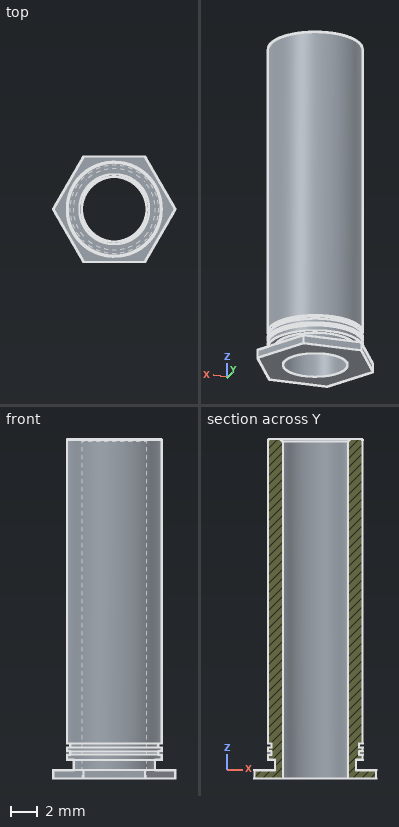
import cadquery as cq
import math

total_height = 25.4
hex_across_flats = 7.92
hex_across_corners = hex_across_flats / math.cos(math.pi / 6)
hex_thickness = 0.64

barrel_diameter = 7.11
barrel_edge_chamfer = 0.075

neck_diameter = 6.1
neck_top = 1.4

groove_diameter = 6.6
groove_spans = [(1.79, 2.03), (2.33, 2.62)]

bore_diameter = 4.83
bore_mouth_chamfer = 0.2


def cylinder(diameter, bottom, top):
    """Solid cylinder on the Z axis between two heights."""
    return cq.Workplane("XY").workplane(offset=bottom).circle(diameter / 2).extrude(top - bottom)


def make_head():
    """Hexagonal head with two corners on the X axis."""
    return cq.Workplane("XY").polygon(6, hex_across_corners).extrude(hex_thickness)


def make_barrel():
    """Long barrel with a small chamfer on its top outer edge."""
    barrel = cylinder(barrel_diameter, neck_top, total_height)
    return barrel.faces(">Z").edges().chamfer(barrel_edge_chamfer)


def make_groove(bottom, top):
    """Ring of material removed from the barrel to form one groove."""
    return cylinder(barrel_diameter, bottom, top).cut(cylinder(groove_diameter, bottom, top))


def make_bore():
    """Cutting tool for the through bore and its conical top mouth."""
    bore_radius = bore_diameter / 2
    mouth_radius = bore_radius + bore_mouth_chamfer
    mouth_bottom = total_height - bore_mouth_chamfer
    profile = (
        cq.Workplane("XZ")
        .moveTo(0, 0)
        .lineTo(bore_radius, 0)
        .lineTo(bore_radius, mouth_bottom)
        .lineTo(mouth_radius, total_height)
        .lineTo(0, total_height)
        .close()
    )
    return profile.revolve(360, (0, 0, 0), (0, 1, 0))


barrel = make_barrel()
for groove_bottom, groove_top in groove_spans:
    barrel = barrel.cut(make_groove(groove_bottom, groove_top))

neck = cylinder(neck_diameter, hex_thickness, neck_top)
result = make_head().union(neck).union(barrel).cut(make_bore())